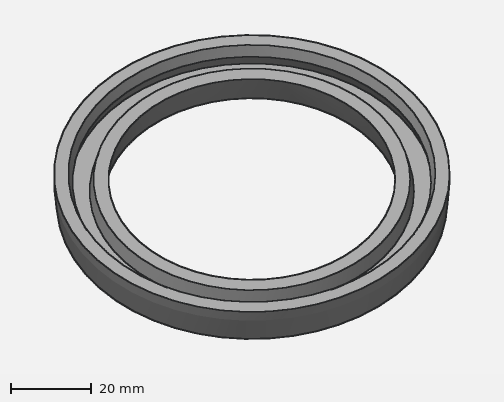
import cadquery as cq

height = 10.0
rim_band_height = 3.0
inner_lip_drop = 2.1
groove_floor = 3.8

outer_radius = 49.0
base_radius = 48.4

bore_top_radius = 35.5
bore_base_radius = 36.75

groove_mouth_radius = 45.5
groove_throat_radius = 44.4
groove_floor_radius = 45.2

lip_top_radius = 39.2
lip_foot_radius = 40.2

band_bottom = height - rim_band_height
lip_top = height - inner_lip_drop

half_section = (
    cq.Workplane("XZ")
    .moveTo(bore_base_radius, 0)
    .lineTo(base_radius, 0)
    .lineTo(outer_radius, band_bottom)
    .lineTo(outer_radius, height)
    .lineTo(groove_mouth_radius, height)
    .lineTo(groove_throat_radius, band_bottom)
    .lineTo(groove_floor_radius, groove_floor)
    .lineTo(lip_foot_radius, groove_floor)
    .lineTo(lip_top_radius, lip_top)
    .lineTo(bore_top_radius, lip_top)
    .close()
)

result = half_section.revolve(360, (0, 0, 0), (0, 1, 0))